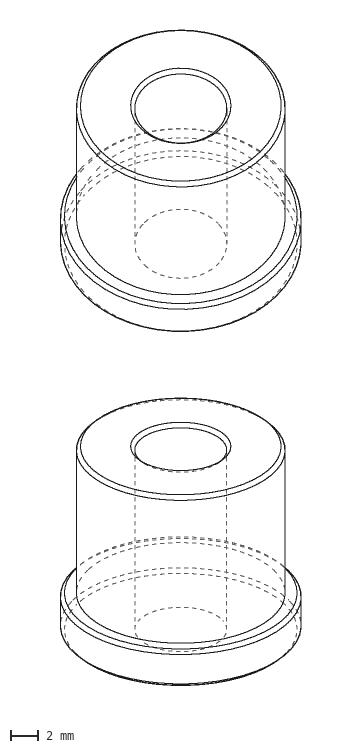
import cadquery as cq

flange_diameter = 17.3
flange_height = 3.0
body_diameter = 15.0
total_height = 15.0
bore_diameter = 6.6
edge_chamfer = 0.3

flange = cq.Workplane("XY").circle(flange_diameter / 2).extrude(flange_height)
flange = flange.edges().chamfer(edge_chamfer)

body = cq.Workplane("XY").circle(body_diameter / 2).extrude(total_height)
body = body.faces(">Z").edges().chamfer(edge_chamfer)

bushing = flange.union(body)
bushing = bushing.faces(">Z").workplane().hole(bore_diameter)
result = bushing.faces(">Z").edges("%CIRCLE").edges(
    cq.selectors.RadiusNthSelector(0)
).chamfer(edge_chamfer)